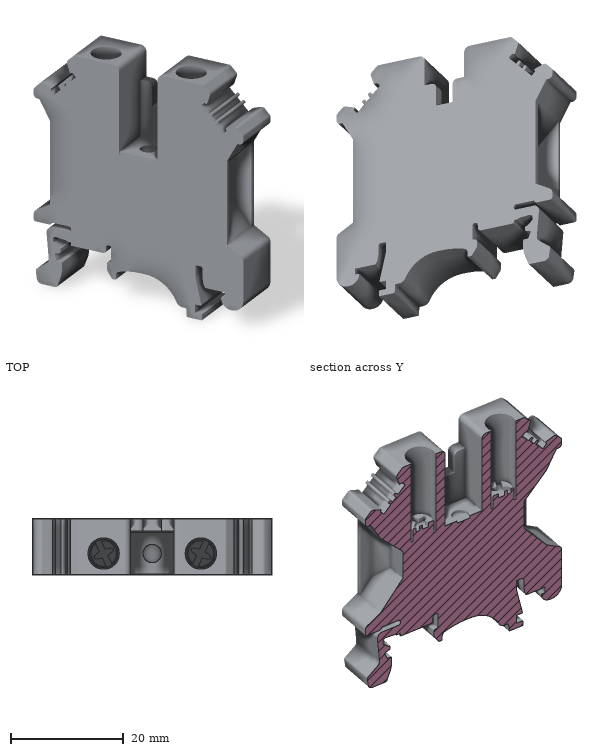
import cadquery as cq
import math


LENGTH = 42.5
THICKNESS = 10.0
HEIGHT = 45.9
HALF_LENGTH = LENGTH / 2
SIDE_X = 17.95
SIDE_BOTTOM_Z = 15.75
SIDE_TOP_Z = 32.18
LEDGE_Z = 13.85
LEDGE_RADIUS = 1.05

HOOK_REACH = 6.35
GROOVE_X = HALF_LENGTH - HOOK_REACH
GROOVE_Z = HEIGHT - HOOK_REACH
HOOK_CORNERS = [
    (-HOOK_REACH, -1.8, 0.45),
    (-4.9, -0.3, 0.65),
    (-2.75, -1.05, 0),
    (-2.95, -1.55, 0),
    (-2.25, -2.25, 0),
]
HOOK_UNDERSIDE_Z = 35.95
HOOK_NECK_X = 20.05
HOOK_UNDERSIDE_RADIUS = 0.83
RIB_OFFSET = 0.83
RIB_WIDTH = 0.65
RIB_HEIGHT = 0.83
RIB_ROOT = 0.25
RIB_ROUNDING = 0.28

SLOT_HALF_WIDTH = 3.9
SLOT_FLOOR_Z = 28.65
SLOT_RIM_RADIUS = 1.0
BACK_WALL_Y = 7.85
BACK_WALL_TOP_Z = 39.95
NOTCH_HALF_WIDTH = 1.6
NOTCH_FLOOR_Z = 35.45
NOTCH_RIM_RADIUS = 0.9
BAR_THICKNESS = 0.5
BAR_FRONT_Y = 0.15
BAR_BACK_Y = 7.55
BAR_HOLE_DIAMETER = 3.25

SCREW_X = 8.65
SCREW_Y = 3.8
SCREW_HOLE_DIAMETER = 5.55
SCREW_HEAD_DIAMETER = 5.0
SCREW_HEAD_HEIGHT = 2.75
SCREW_HEAD_CHAMFER = 0.25
DRIVE_DEPTH = 0.9
DRIVE_TILT = 25.0
DRIVE_SLOT_WIDTH = 1.1
DRIVE_ARM_REACH = 1.85
DRIVE_ARM_ROOT_WIDTH = 1.3
DRIVE_ARM_TIP_WIDTH = 0.5

FUNNEL_DEPTH = 4.8
FUNNEL_END_BOTTOM_Z = 21.4
FUNNEL_END_TOP_Z = 27.3
FUNNEL_FRONT_Y = 0.65
FUNNEL_BACK_Y = 9.1
FUNNEL_END_FRONT_Y = 1.0
FUNNEL_END_BACK_Y = 6.6
FUNNEL_FRONT_TAPER = 0.45
FUNNEL_BACK_STRAIGHT = 2.65
FUNNEL_BACK_RADIUS = 1.0


def rounded_outline(plane, corners):
    """Closed wire through the corners, each rounded by a tangent arc of its own radius."""
    path = None
    count = len(corners)
    for index, (x, z, radius) in enumerate(corners):
        corner = cq.Vector(x, z)
        before = (cq.Vector(*corners[index - 1][:2]) - corner).normalized()
        after = (cq.Vector(*corners[(index + 1) % count][:2]) - corner).normalized()
        half_angle = before.getAngle(after) / 2
        setback = radius / math.tan(half_angle)
        start = corner + before * setback
        path = path.lineTo(start.x, start.y) if path else plane.moveTo(start.x, start.y)
        if radius:
            inward = (before + after).normalized()
            middle = corner + inward * (radius / math.sin(half_angle) - radius)
            end = corner + after * setback
            path = path.threePointArc((middle.x, middle.y), (end.x, end.y))
    return path.close()


def front_prism(corners, y_from, y_to):
    """Solid with an XZ outline between two depths."""
    plane = cq.Workplane("XZ", origin=(0, y_from, 0))
    return rounded_outline(plane, corners).extrude(y_from - y_to)


def box_between(x_from, x_to, y_from, y_to, z_from, z_to):
    size = (x_to - x_from, y_to - y_from, z_to - z_from)
    return cq.Workplane("XY").box(*size, centered=False).translate((x_from, y_from, z_from))


def mirrored(corners):
    """The corners reflected in X = 0, in reverse order so that the path keeps its direction."""
    return [(-x, z, radius) for x, z, radius in reversed(corners)]


def left_shoulder():
    """Corners from the left end wall up over the marker groove to the slot rim."""
    lower_hook = [(dx - GROOVE_X, dz + GROOVE_Z, r) for dx, dz, r in HOOK_CORNERS]
    upper_hook = [(-dz - GROOVE_X, -dx + GROOVE_Z, r) for dx, dz, r in reversed(HOOK_CORNERS)]
    neck = [
        (-SIDE_X, SIDE_BOTTOM_Z, 0),
        (-SIDE_X, SIDE_TOP_Z, 0),
        (-HOOK_NECK_X, HOOK_UNDERSIDE_Z, 0),
        (-HALF_LENGTH, HOOK_UNDERSIDE_Z, HOOK_UNDERSIDE_RADIUS),
    ]
    rim = [
        (-SLOT_HALF_WIDTH, HEIGHT, SLOT_RIM_RADIUS),
        (-SLOT_HALF_WIDTH, SLOT_FLOOR_Z, 0),
    ]
    return neck + lower_hook + upper_hook + rim


FIXED_JAW = [
    (HALF_LENGTH, LEDGE_Z, LEDGE_RADIUS),
    (HALF_LENGTH, 3.3, 2.25),
    (16.75, 3.3, 1.97),
    (16.75, 5.32, 0),
    (17.55, 5.32, 0),
    (17.55, 6.45, 0),
    (13.55, 6.45, 0),
    (13.17, 7.1, 0.25),
    (13.0, 8.3, 0),
    (12.95, 10.45, 0.3),
    (11.5, 10.45, 0.15),
    (11.5, 8.3, 0),
    (12.8, 2.8, 0.2),
    (11.48, 2.8, 0),
    (11.48, 1.15, 0),
    (12.85, 1.15, 0),
    (12.85, 0, 0),
    (9.78, 0, 0.15),
    (9.7, 1.7, 0.2),
]
ARCH = [
    (8.1, 1.7, 1.38),
    (5.7, 6.45, 6.98),
    (-1.38, 6.45, 13.75),
    (-4.55, 5.65, 0.83),
    (-4.55, 4.1, 0.2),
    (-5.32, 4.1, 0.25),
    (-6.4, 5.6, 0.9),
    (-6.4, 7.25, 0.35),
    (-5.55, 7.25, 0),
    (-5.55, 10.45, 0.28),
    (-6.5, 10.45, 0.35),
    (-6.65, 8.75, 0.6),
]
SPRING_FOOT = [
    (-13.65, 8.75, 0),
    (-13.7, 9.4, 0),
    (-14.45, 9.4, 0),
    (-14.6, 9.6, 0),
    (-17.3, 9.8, 0.55),
    (-17.3, 8.65, 0),
    (-16.2, 7.65, 0),
    (-15.85, 7.65, 0),
    (-15.85, 6.85, 0.15),
    (-17.05, 6.45, 0.2),
    (-16.5, 5.15, 0.1),
    (-15.5, 5.15, 0.25),
    (-15.5, 2.75, 3.65),
    (-16.55, 0, 0.35),
    (-20.45, 0, 1.0),
    (-20.85, 2.55, 0.45),
    (-18.15, 4.65, 1.1),
    (-18.75, 11.45, 1.1),
    (-13.65, 11.45, 0.45),
    (-13.65, 12.45, 0.45),
    (-17.63, 12.45, 0),
    (-17.95, 11.95, 0),
    (-HALF_LENGTH, 11.95, 0.45),
    (-HALF_LENGTH, LEDGE_Z, LEDGE_RADIUS),
]


def housing():
    shoulder = left_shoulder()
    outline = shoulder + mirrored(shoulder) + FIXED_JAW + ARCH + SPRING_FOOT
    return front_prism(outline, 0, THICKNESS)


def marker_rib(side, offset):
    """Round-topped rib standing square on the floor of one marker groove."""
    half = RIB_WIDTH / 2
    rib = box_between(offset - half, offset + half, 0, THICKNESS, -RIB_ROOT, RIB_HEIGHT)
    rib = rib.edges("|Y and >Z").fillet(RIB_ROUNDING)
    turned = rib.rotate((0, 0, 0), (0, 1, 0), side * 45)
    return turned.translate((side * GROOVE_X, 0, GROOVE_Z))


def slot_back_wall():
    """Low wall closing the rear of the busbar slot, with a central notch."""
    half = [
        (-SLOT_HALF_WIDTH, SLOT_FLOOR_Z, 0),
        (-SLOT_HALF_WIDTH, BACK_WALL_TOP_Z, 0),
        (-NOTCH_HALF_WIDTH, BACK_WALL_TOP_Z, NOTCH_RIM_RADIUS),
        (-NOTCH_HALF_WIDTH, NOTCH_FLOOR_Z, 0),
    ]
    return front_prism(half + mirrored(half), BACK_WALL_Y, THICKNESS)


def busbar():
    """Metal bar lying on the slot floor, with a hole through its thickness."""
    top_z = SLOT_FLOOR_Z + BAR_THICKNESS
    half = SLOT_HALF_WIDTH
    bar = box_between(-half, half, BAR_FRONT_Y, BAR_BACK_Y, SLOT_FLOOR_Z, top_z)
    hole = (
        cq.Workplane("XY", origin=(0, SCREW_Y, SLOT_FLOOR_Z))
        .circle(BAR_HOLE_DIAMETER / 2)
        .extrude(BAR_THICKNESS)
    )
    return bar.cut(hole)


def wire_funnel():
    """Tapering cavity in the left end wall."""
    end_x = FUNNEL_DEPTH - SIDE_X
    plan = [
        (-SIDE_X, FUNNEL_FRONT_Y, 0),
        (end_x - FUNNEL_FRONT_TAPER, FUNNEL_FRONT_Y, 0),
        (end_x, FUNNEL_END_FRONT_Y, 0),
        (end_x, FUNNEL_END_BACK_Y, 0),
        (FUNNEL_BACK_STRAIGHT - SIDE_X, FUNNEL_BACK_Y, FUNNEL_BACK_RADIUS),
        (-SIDE_X, FUNNEL_BACK_Y, 0),
    ]
    side = [
        (-SIDE_X, SIDE_BOTTOM_Z, 0),
        (end_x, FUNNEL_END_BOTTOM_Z, 0),
        (end_x, FUNNEL_END_TOP_Z, 0),
        (-SIDE_X, SIDE_TOP_Z, 0),
    ]
    plan_prism = rounded_outline(cq.Workplane("XY"), plan).extrude(HEIGHT)
    return plan_prism.intersect(front_prism(side, 0, THICKNESS))


def screw_hole():
    """Shaft for the left clamp screw, from the top face down to the slot floor level."""
    return (
        cq.Workplane("XY", origin=(-SCREW_X, SCREW_Y, SLOT_FLOOR_Z))
        .circle(SCREW_HOLE_DIAMETER / 2)
        .extrude(HEIGHT - SLOT_FLOOR_Z)
    )


def screw_head():
    """Left screw head with a full-width slot crossed by two tapering arms."""
    head = (
        cq.Workplane("XY")
        .circle(SCREW_HEAD_DIAMETER / 2)
        .extrude(SCREW_HEAD_HEIGHT)
        .faces(">Z")
        .chamfer(SCREW_HEAD_CHAMFER)
    )
    drive_plane = cq.Workplane("XY", origin=(0, 0, SCREW_HEAD_HEIGHT - DRIVE_DEPTH))
    slot = drive_plane.rect(DRIVE_SLOT_WIDTH, SCREW_HEAD_DIAMETER).extrude(DRIVE_DEPTH)
    root = DRIVE_ARM_ROOT_WIDTH / 2
    tip = DRIVE_ARM_TIP_WIDTH / 2
    inner_x = DRIVE_SLOT_WIDTH / 2
    arms = drive_plane.polyline([
        (-DRIVE_ARM_REACH, -tip),
        (-inner_x, -root),
        (inner_x, -root),
        (DRIVE_ARM_REACH, -tip),
        (DRIVE_ARM_REACH, tip),
        (inner_x, root),
        (-inner_x, root),
        (-DRIVE_ARM_REACH, tip),
    ]).close().extrude(DRIVE_DEPTH)
    head = head.cut(slot).cut(arms).rotate((0, 0, 0), (0, 0, 1), DRIVE_TILT)
    return head.translate((-SCREW_X, SCREW_Y, SLOT_FLOOR_Z))


def with_twin(left):
    """A left-hand feature together with its mirror image on the right."""
    return left.union(left.mirror("YZ"))


body = housing().union(slot_back_wall()).union(busbar())
for groove_side in (-1, 1):
    for rib_offset in (-RIB_OFFSET, RIB_OFFSET):
        body = body.union(marker_rib(groove_side, rib_offset))
body = body.cut(with_twin(wire_funnel())).cut(with_twin(screw_hole()))
result = body.union(with_twin(screw_head()))